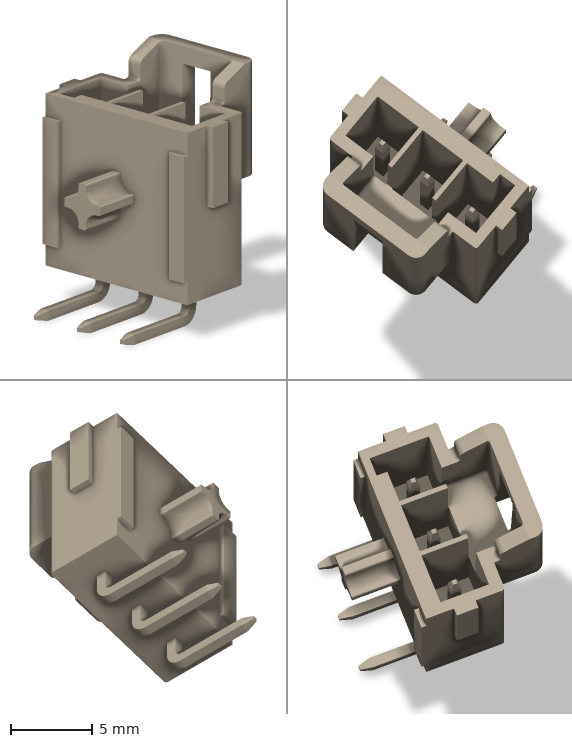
import cadquery as cq
import math


body_width = 11.53
body_depth = 5.2
body_height = 11.18
body_corner_radius = 0.2

overall_width = 12.5
ear_front = 1.85
ear_back = 3.27
ear_length = 5.25

pad_width = 1.23
pad_thickness = 0.31
pad_end_margin = 1.48

peg_length = 3.2
peg_width = 2.9
peg_tall = 2.97
peg_upright_rounding = 0.11
peg_side_rounding = 0.08
peg_arm_half_width = 0.31
peg_groove_radius = 0.85
peg_height = body_height - ear_length

latch_width = 7.82
latch_back = 8.65
latch_rise = 2.14
latch_back_wall = 1.11
latch_length_in_body = ear_length
latch_corner_radius = 0.75
cheek_front = 5.61
cheek_slope_drop = 0.85
cheek_nose_radius = 0.5
cheek_foot_radius = 0.19

latch_top = body_height + latch_rise
latch_bottom = body_height - latch_length_in_body
latch_inner_back = latch_back - latch_back_wall

channel_width = 5.85
channel_floor = 7.19
channel_back_draft = 0.15
channel_fillet = 0.19

window_width = 2.28
window_head = 1.11
window_front = 7.17

pocket_depth = 7.82
pocket_front = 1.2
pocket_back = 4.4
row_half_length = 5.1
divider_inner = 1.58
divider_outer = 1.88
small_draft = 0.06
large_draft = 0.13
key_right = -3.9
key_front = 0.5

pin_pitch = 3.5
pin_size = 0.64
pin_centre_y = 2.75
pin_top = 8.75
pin_drop = 2.31
pin_reach = 3.52
pin_bend_radius = 0.44
pin_tip_length = 0.8
pin_tip_size = 0.28


def block(x_range, y_range, z_range):
    """Axis-aligned box between the given limits."""
    sizes = [high - low for low, high in (x_range, y_range, z_range)]
    corner = (x_range[0], y_range[0], z_range[0])
    return cq.Workplane("XY").box(*sizes, centered=False).translate(corner)


def make_body():
    half = body_width / 2
    body = block((-half, half), (0, body_depth), (0, body_height))
    return body.edges("|Z and >Y").fillet(body_corner_radius)


def make_ears():
    half = overall_width / 2
    ear_bottom = body_height - ear_length
    return block((-half, half), (ear_front, ear_back), (ear_bottom, body_height))


def make_pad(side):
    outer = side * body_width / 2
    inner = outer - side * pad_width
    z_range = (pad_end_margin, body_height - pad_end_margin)
    return block(sorted((outer, inner)), (-pad_thickness, 0), z_range)


def make_peg():
    """Peg whose four rounded corner grooves leave a cross with rounded arm ends."""
    near = peg_arm_half_width
    groove = block((near, peg_width), (-peg_length, 0), (near, peg_width))
    groove = groove.edges("|Y").edges("<X and <Z").fillet(peg_groove_radius)
    peg = cq.Workplane("XZ").rect(peg_width, peg_tall).extrude(peg_length)
    for quarter in range(4):
        peg = peg.cut(groove.rotate((0, 0, 0), (0, 1, 0), 90 * quarter))
    peg = peg.edges("|Y").edges(">Z or <Z").fillet(peg_upright_rounding)
    peg = peg.edges("|Y").edges(">X or <X").fillet(peg_side_rounding)
    return peg.translate((0, 0, peg_height))


def make_latch():
    """Latch frame outline, solid, with sloping cheeks above the housing."""
    cheek_tip = latch_top - cheek_slope_drop
    profile = [
        (pocket_back, latch_bottom),
        (latch_back, latch_bottom),
        (latch_back, latch_top),
        (latch_inner_back, latch_top),
        (cheek_front, cheek_tip),
        (cheek_front, body_height),
        (pocket_back, body_height),
    ]
    latch = cq.Workplane("YZ").polyline(profile).close().extrude(latch_width / 2, both=True)
    latch = latch.edges("|Z and >Y").fillet(latch_corner_radius)
    nose = cq.NearestToPointSelector((0, cheek_front, cheek_tip))
    latch = latch.edges("|X").edges(nose).fillet(cheek_nose_radius)
    foot = cq.NearestToPointSelector((0, cheek_front, body_height))
    return latch.edges("|X").edges(foot).fillet(cheek_foot_radius)


def make_channel():
    """Space inside the latch frame, rounded along its floor and back corners."""
    front = pocket_back - large_draft
    profile = [
        (front, channel_floor),
        (latch_inner_back - channel_back_draft, channel_floor),
        (latch_inner_back, latch_top),
        (front, latch_top),
    ]
    channel = cq.Workplane("YZ").polyline(profile).close().extrude(channel_width / 2, both=True)
    return channel.edges("not(<Y or >Z)").fillet(channel_fillet)


def make_window():
    half = window_width / 2
    return block((-half, half), (window_front, latch_back), (latch_bottom, latch_top - window_head))


def tapered_pocket(left, right, front, back, drafts):
    """Pocket with the given mouth; drafts lists how far each wall leans in at the floor."""
    left_draft, right_draft, front_draft, back_draft = drafts
    floor_left = left + left_draft
    floor_right = right - right_draft
    floor_front = front + front_draft
    floor_back = back - back_draft
    mouth = cq.Workplane("XY", origin=(0, 0, body_height))
    mouth = mouth.moveTo((left + right) / 2, (front + back) / 2).rect(right - left, back - front)
    floor = mouth.workplane(offset=-pocket_depth)
    floor = floor.moveTo((floor_left + floor_right) / 2, (floor_front + floor_back) / 2)
    floor = floor.rect(floor_right - floor_left, floor_back - floor_front)
    return floor.loft(ruled=True)


def make_pockets():
    small, large = small_draft, large_draft
    left = tapered_pocket(
        -row_half_length, -divider_outer, pocket_front, pocket_back, (small, large, small, large)
    )
    middle = tapered_pocket(
        -divider_inner, divider_inner, pocket_front, pocket_back, (small, small, small, large)
    )
    right = tapered_pocket(
        divider_outer, row_half_length, pocket_front, pocket_back, (large, small, small, large)
    )
    key = tapered_pocket(
        -row_half_length, key_right, key_front, pin_centre_y, (small,) * 4
    )
    return left.union(key).union(middle).union(right)


def make_pin_tip(end_centre, direction):
    """Tapered end growing from the middle of a pin's end face."""
    taper = math.degrees(math.atan((pin_size - pin_tip_size) / 2 / pin_tip_length))
    plane = cq.Plane(origin=end_centre, xDir=(1, 0, 0), normal=direction)
    return cq.Workplane(plane).rect(pin_size, pin_size).extrude(pin_tip_length, taper=taper)


def make_pin(x):
    """Square pin, bent forward below the housing and tapered at both ends."""
    half = pin_size / 2
    lower = -pin_drop
    upper = lower + pin_size
    back = pin_centre_y + half
    front = pin_centre_y - half
    shank_end = -pin_reach + pin_tip_length
    shank_top = pin_top - pin_tip_length
    outer_radius = pin_bend_radius + pin_size

    shank = (
        cq.Workplane("YZ", origin=(x, 0, 0))
        .moveTo(front, shank_top)
        .lineTo(back, shank_top)
        .lineTo(back, lower + outer_radius)
        .radiusArc((back - outer_radius, lower), outer_radius)
        .lineTo(shank_end, lower)
        .lineTo(shank_end, upper)
        .lineTo(front - pin_bend_radius, upper)
        .radiusArc((front, upper + pin_bend_radius), -pin_bend_radius)
        .close()
        .extrude(half, both=True)
    )
    top_tip = make_pin_tip((x, pin_centre_y, shank_top), (0, 0, 1))
    front_tip = make_pin_tip((x, shank_end, lower + half), (0, -1, 0))
    return shank.union(top_tip).union(front_tip)


housing = make_body().union(make_ears()).union(make_latch()).union(make_peg())
for pad_side in (-1, 1):
    housing = housing.union(make_pad(pad_side))
housing = housing.cut(make_channel()).cut(make_window()).cut(make_pockets())

result = housing
for pin_index in (-1, 0, 1):
    result = result.union(make_pin(pin_index * pin_pitch))